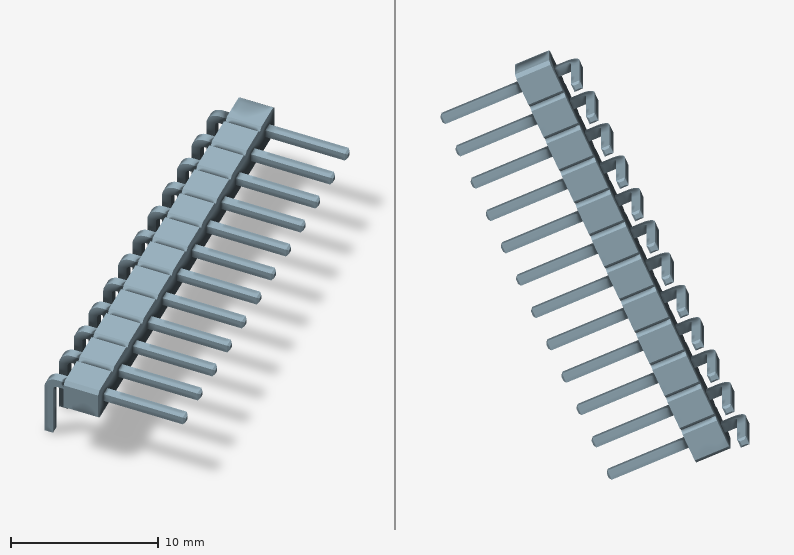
import cadquery as cq

pin_count = 12
row_length = 30.48
pitch = row_length / pin_count

body_depth = pitch
body_height = 2.55
body_chamfer = 0.26

pin_width = 0.65
bend_radius = 0.98
tip_chamfer = 0.15
pin_reach = 10.35
overall_height = 6.2
tail_offset = 1.83

tail_x = -tail_offset
tip_x = tail_x + pin_reach
pin_top = pin_width / 2
tail_bottom = body_height / 2 - overall_height


def housing_cell(y):
    """One pitch of the housing, with its four edges along X chamfered."""
    return (
        cq.Workplane("XY")
        .box(body_depth, pitch, body_height)
        .edges("|X")
        .chamfer(body_chamfer)
        .translate((body_depth / 2, y, 0))
    )


def bent_pin(y):
    """Square pin with a rounded bend and a four-sided taper at each tip."""
    outline = (
        cq.Workplane("XZ")
        .moveTo(tip_x, pin_top)
        .lineTo(tail_x + bend_radius, pin_top)
        .radiusArc((tail_x, pin_top - bend_radius), -bend_radius)
        .lineTo(tail_x, tail_bottom)
        .lineTo(tail_x + pin_width, tail_bottom)
        .lineTo(tail_x + pin_width, pin_top - bend_radius)
        .radiusArc((tail_x + bend_radius, pin_top - pin_width), bend_radius - pin_width)
        .lineTo(tip_x, pin_top - pin_width)
        .close()
    )
    pin = outline.extrude(pin_width / 2, both=True)
    pin = pin.faces(">X").chamfer(tip_chamfer)
    pin = pin.faces("<Z").chamfer(tip_chamfer)
    return pin.translate((0, y, 0))


pin_positions = [(i - (pin_count - 1) / 2) * pitch for i in range(pin_count)]

housing = housing_cell(pin_positions[0])
for y in pin_positions[1:]:
    housing = housing.union(housing_cell(y))

result = housing
for y in pin_positions:
    result = result.union(bent_pin(y))